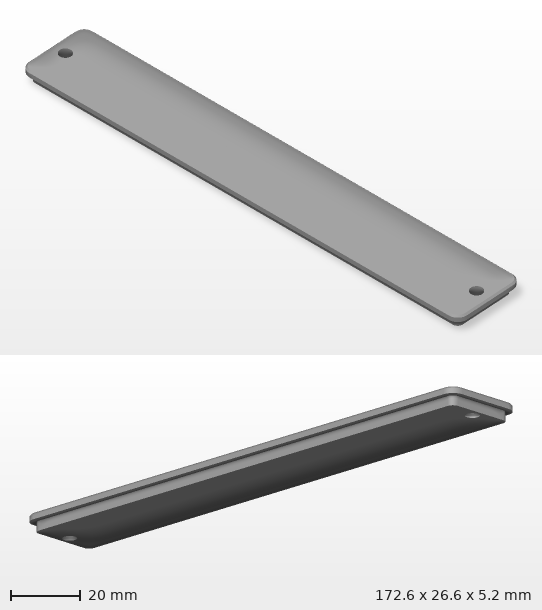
import cadquery as cq

flange_length = 172.6
flange_width = 26.6
flange_thickness = 2.2
flange_corner_radius = 3.7
top_chamfer = 0.6

total_height = 5.2
plug_inset = 2.0
plug_length = flange_length - 2 * plug_inset
plug_width = flange_width - 2 * plug_inset
plug_corner_radius = 2.0
plug_height = total_height - flange_thickness

hole_diameter = 4.4
hole_spacing = 162.0


def rounded_plate(length, width, thickness, corner_radius):
    """Plate centred on the Z axis, standing on Z = 0, with rounded corners."""
    plate = cq.Workplane("XY").box(length, width, thickness, centered=(True, True, False))
    return plate.edges("|Z").fillet(corner_radius)


def make_plug():
    return rounded_plate(plug_length, plug_width, plug_height, plug_corner_radius)


def make_flange():
    """Upper plate with a chamfer around its top edge, resting on the plug."""
    plate = rounded_plate(flange_length, flange_width, flange_thickness, flange_corner_radius)
    chamfered = plate.faces(">Z").edges().chamfer(top_chamfer)
    return chamfered.translate((0, 0, plug_height))


def make_screw_holes():
    """Cylinders that cut the screw holes through the full height."""
    centres = [(-hole_spacing / 2, 0), (hole_spacing / 2, 0)]
    return cq.Workplane("XY").pushPoints(centres).circle(hole_diameter / 2).extrude(total_height)


result = make_plug().union(make_flange()).cut(make_screw_holes())